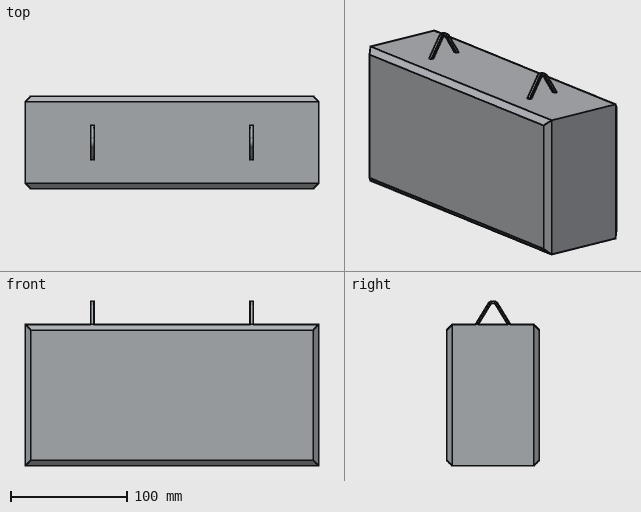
import cadquery as cq
import math

block_length = 253.0
block_depth = 80.0
block_height = 122.0
block_chamfer = 5.0

hanger_height = 20.0
hanger_width = 3.0
hanger_spacing = 137.0
strip_thickness = 2.0
crown_radius = 5.0
hanger_foot_span = 30.0
hanger_embed = 1.0

crown_center_height = hanger_height - crown_radius
half_span = hanger_foot_span / 2
foot_to_center = math.hypot(half_span, crown_center_height)
leg_angle = math.atan2(crown_center_height, half_span) + math.asin(crown_radius / foot_to_center)


def make_block():
    """Block with every edge of its front and back faces chamfered."""
    block = cq.Workplane("XY").box(
        block_length, block_depth, block_height, centered=(True, True, False)
    )
    return block.faces("<Y or >Y").edges().chamfer(block_chamfer)


def inverted_v(arc_radius, x_center):
    """Solid inverted V with a rounded crown and a slightly embedded foot."""
    arc_center_z = block_height + crown_center_height
    tangent_y = arc_radius * math.sin(leg_angle)
    tangent_z = arc_center_z + arc_radius * math.cos(leg_angle)
    foot_z = block_height - hanger_embed
    foot_y = tangent_y + (tangent_z - foot_z) / math.tan(leg_angle)
    return (
        cq.Workplane("YZ", origin=(x_center - hanger_width / 2, 0, 0))
        .moveTo(-foot_y, foot_z)
        .lineTo(-tangent_y, tangent_z)
        .threePointArc((0, arc_center_z + arc_radius), (tangent_y, tangent_z))
        .lineTo(foot_y, foot_z)
        .close()
        .extrude(hanger_width)
    )


def make_hanger(x_center):
    """Strip left between the outer and inner inverted V shapes."""
    outer = inverted_v(crown_radius, x_center)
    inner = inverted_v(crown_radius - strip_thickness, x_center)
    return outer.cut(inner)


result = make_block()
for side in (-1, 1):
    result = result.union(make_hanger(side * hanger_spacing / 2))